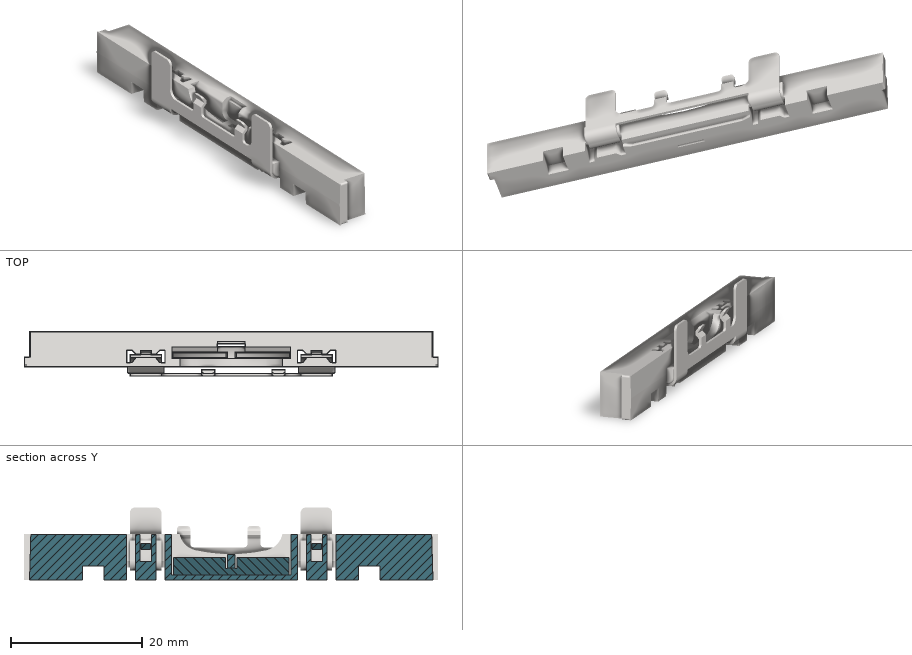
import cadquery as cq
import math

length = 63.0
height = 7.0
housing_depth = 5.35
body_length = 61.5
body_end_draft = 0.2
flange_depth = 1.5
front_draft = 0.08
end_lip = 0.25
end_relief = 0.3

notch_x = 21.0
notch_width = 3.2
notch_height = 2.1
notch_depth = 3.0
relief_height = 0.6
relief_depth = 1.25
relief_shoulder = 0.8
relief_half_width = 10.3
relief_half_back = 8.75

scoop_depth = 1.25
scoop_floor = 3.9
scoop_tangent_x = 5.4
scoop_tangent_z = 4.5
scoop_end_radius = 3.2

pocket_inner = 0.6
pocket_outer = 9.05
pocket_back = 2.3
pocket_floor = 0.8
pocket_chamfer_depth = 0.75
pocket_chamfer_drop = 0.6
pocket_chamfer_blend = 0.18
recess_half = 2.1
recess_back = 3.5
recess_radius = 1.0
recess_step_depth = 0.4
recess_step_drop = 0.65
through_slot_width = 0.4

blade_clearance = 0.2
blade_top = 3.5
blade_joint_height = 1.0

sheet = 0.4
bracket_front = -1.4
bracket_back = bracket_front + sheet
bracket_top = 11.0
tab_x = 13.0
tab_width = 4.8
tab_corner = 0.8
bar_bottom = 3.0
bar_top = 4.95
bar_corner = 1.4
finger_spans = [(-4.5, -2.5), (6.2, 8.2)]
finger_top = 8.2
finger_corner = 0.45
finger_root = 0.5
finger_bend_z = 6.5
finger_vertex_z = 7.1
finger_back_bend_z = 6.25
finger_back_flat = (6.85, 7.4)
finger_kink = 0.6

bend_z = 2.85
bend_outer = -bracket_front
bend_inner = bend_outer - sheet
hook_bottom = bend_z - bend_outer
hook_flat = 0.45
leg_back = hook_flat + bend_outer
leg_front = leg_back - sheet
leg_top = 6.0
barb_width = 1.5
barb_reach = 0.45
barb_bottom = 4.6
slot_half = 2.9
slot_front = 0.65
slot_back = 2.5
slot_neck_front = 1.4
slot_neck_back = 1.9
slot_neck_half = 1.5
slot_end_half = 2.1
barb_slot_width = 1.7

pad_half = 2.8
pad_top = 4.4
pad_corner = 0.25


def block(x0, x1, y0, y1, z0, z1):
    return cq.Workplane("XY").box(x1 - x0, y1 - y0, z1 - z0, centered=False).translate((x0, y0, z0))


def front_sketch(y):
    """XZ workplane at depth y; a negative extrusion runs toward +Y."""
    return cq.Workplane("XZ", origin=(0, y, 0))


def side_sketch(x):
    """YZ workplane at x; extrusion runs toward +X."""
    return cq.Workplane("YZ", origin=(x, 0, 0))


def make_bar():
    half = body_length / 2
    top_half = half - body_end_draft
    body = (
        front_sketch(0)
        .polyline([(-half, 0), (half, 0), (top_half, height), (-top_half, height)])
        .close()
        .extrude(-housing_depth)
    )
    lip = (
        side_sketch(-length / 2)
        .polyline([
            (front_draft, 0),
            (end_lip, 0),
            (end_lip, height),
            (front_draft, height),
            (0, height / 2),
        ])
        .close()
        .extrude(length)
    )
    flange = block(-length / 2, length / 2, end_lip, flange_depth, 0, height)
    flange = flange.edges("|Y").fillet(end_relief)
    body = body.cut(block(-half, half, 0, end_lip, 0, height))
    return body.union(flange).union(lip)


def scoop_cutter():
    rise = scoop_tangent_z - scoop_floor
    floor_radius = (scoop_tangent_x**2 + rise**2) / (2 * rise)
    tilt = math.asin(scoop_tangent_x / floor_radius)
    center_x = scoop_tangent_x - scoop_end_radius * math.sin(tilt)
    center_z = scoop_tangent_z + scoop_end_radius * math.cos(tilt)
    end_angle = math.asin((center_z - height) / scoop_end_radius)
    end_x = center_x + scoop_end_radius * math.cos(end_angle)
    mid_angle = (end_angle + math.pi / 2 - tilt) / 2
    mid_x = center_x + scoop_end_radius * math.cos(mid_angle)
    mid_z = center_z - scoop_end_radius * math.sin(mid_angle)
    return (
        front_sketch(0)
        .moveTo(-end_x, height)
        .threePointArc((-mid_x, mid_z), (-scoop_tangent_x, scoop_tangent_z))
        .threePointArc((0, scoop_floor), (scoop_tangent_x, scoop_tangent_z))
        .threePointArc((mid_x, mid_z), (end_x, height))
        .close()
        .extrude(-scoop_depth)
    )


def recess_cutter():
    recess = block(-recess_half, recess_half, scoop_depth, recess_back, scoop_floor, 2 * height)
    return recess.faces("<Z").edges("|Y").fillet(recess_radius)


def pocket_chamfer_cutter():
    """Chamfer along the top of the pocket's back wall, rounded where it meets the wall."""
    corner_z = height - pocket_chamfer_drop
    slope = math.atan2(pocket_chamfer_drop, pocket_chamfer_depth)
    blend_radius = pocket_chamfer_blend / math.tan((math.pi / 2 - slope) / 2)
    center_y = pocket_back + blend_radius
    center_z = corner_z - pocket_chamfer_blend
    mid_angle = (math.pi + slope + math.pi / 2) / 2
    mid = (center_y + blend_radius * math.cos(mid_angle), center_z + blend_radius * math.sin(mid_angle))
    end = (
        pocket_back + pocket_chamfer_blend * math.cos(slope),
        corner_z + pocket_chamfer_blend * math.sin(slope),
    )
    return (
        side_sketch(-pocket_outer)
        .moveTo(pocket_back, center_z)
        .threePointArc(mid, end)
        .lineTo(pocket_back + pocket_chamfer_depth, height)
        .lineTo(pocket_back, height)
        .close()
        .extrude(2 * pocket_outer)
    )


def blade_shape(clearance, top):
    """Two lobes reaching up to top, joined below the middle web and shrunk all round by the clearance."""
    y0 = scoop_depth + clearance
    y1 = pocket_back - clearance
    outer = pocket_outer - clearance
    joint_top = pocket_floor + blade_joint_height
    shape = block(-outer, outer, y0, y1, pocket_floor, joint_top)
    for side in (-1, 1):
        x0, x1 = sorted((side * (pocket_inner + clearance), side * outer))
        shape = shape.union(block(x0, x1, y0, y1, pocket_floor, top))
    return shape


def slot_cutter(x):
    right = [
        (slot_neck_half, slot_neck_front),
        (slot_end_half, slot_front),
        (slot_half, slot_front),
        (slot_half, slot_back),
        (slot_end_half, slot_back),
        (slot_neck_half, slot_neck_back),
    ]
    left = [(-px, py) for px, py in reversed(right)]
    slot = cq.Workplane("XY").polyline(right + left).close().extrude(height)
    barb_room = block(-barb_slot_width / 2, barb_slot_width / 2, slot_neck_back, slot_back, bend_z, height)
    hook_entry = block(-slot_half, slot_half, 0, hook_flat, 0, bend_z - bend_inner)
    hook_room = block(-slot_half, slot_half, hook_flat, slot_neck_back, 0, bend_z)
    cutter = slot.union(barb_room).union(hook_entry).union(hook_room)
    return cutter.translate((x, 0, 0))


def make_pad(x):
    diagonal = bend_inner * math.sqrt(0.5)
    pad = (
        side_sketch(x - pad_half)
        .moveTo(0, bend_z - bend_inner)
        .threePointArc((-diagonal, bend_z - diagonal), (bracket_back, bend_z))
        .lineTo(bracket_back, pad_top)
        .lineTo(flange_depth / 2, pad_top)
        .lineTo(flange_depth / 2, bend_z - bend_inner)
        .close()
        .extrude(2 * pad_half)
    )
    return pad.faces("<Y").edges().fillet(pad_corner)


def make_housing():
    housing = make_bar()
    for side in (-1, 1):
        housing = housing.union(make_pad(side * tab_x)).cut(slot_cutter(side * tab_x))
        x0 = side * notch_x - notch_width / 2
        housing = housing.cut(block(x0, x0 + notch_width, 0, notch_depth, 0, notch_height))
    under_relief = (
        cq.Workplane("XY")
        .polyline([
            (-relief_half_width, 0),
            (relief_half_width, 0),
            (relief_half_width, relief_shoulder),
            (relief_half_back, relief_depth),
            (-relief_half_back, relief_depth),
            (-relief_half_width, relief_shoulder),
        ])
        .close()
        .extrude(relief_height)
    )
    housing = housing.cut(under_relief).cut(scoop_cutter()).cut(blade_shape(0, height))
    housing = housing.cut(pocket_chamfer_cutter())
    housing = housing.cut(recess_cutter())
    step_bottom = height - recess_step_drop
    step_back = recess_back + recess_step_depth
    housing = housing.cut(block(-recess_half, recess_half, recess_back, step_back, step_bottom, height))
    return housing.cut(
        block(-recess_half, recess_half, recess_back - through_slot_width, recess_back, 0, height)
    )


def make_blade():
    return blade_shape(blade_clearance, blade_top)


def make_tab(x):
    left = x - tab_width / 2
    tab = block(left, left + tab_width, bracket_front, bracket_back, bend_z, bracket_top)
    return tab.faces(">Z").edges("|Y").fillet(tab_corner)


def make_hook(x):
    """U bend under the tab, rising into the housing slot as a straight leg with a barb."""
    outer_diagonal = bend_outer * math.sqrt(0.5)
    inner_diagonal = bend_inner * math.sqrt(0.5)
    hook_inside = hook_bottom + sheet
    hook = (
        side_sketch(x - tab_width / 2)
        .moveTo(bracket_front, bend_z)
        .threePointArc((-outer_diagonal, bend_z - outer_diagonal), (0, hook_bottom))
        .lineTo(hook_flat, hook_bottom)
        .threePointArc((hook_flat + outer_diagonal, bend_z - outer_diagonal), (leg_back, bend_z))
        .lineTo(leg_back, leg_top)
        .lineTo(leg_front, leg_top)
        .lineTo(leg_front, bend_z)
        .threePointArc((hook_flat + inner_diagonal, bend_z - inner_diagonal), (hook_flat, hook_inside))
        .lineTo(0, hook_inside)
        .threePointArc((-inner_diagonal, bend_z - inner_diagonal), (bracket_back, bend_z))
        .close()
        .extrude(tab_width)
    )
    barb = (
        side_sketch(x - barb_width / 2)
        .polyline([(leg_back, barb_bottom), (leg_back + barb_reach, barb_bottom), (leg_back, leg_top)])
        .close()
        .extrude(barb_width)
    )
    return hook.union(barb)


def make_finger(x0, x1):
    """Finger whose upper half kinks toward the housing and back again."""
    back_flat_bottom, back_flat_top = finger_back_flat
    finger = (
        side_sketch(x0)
        .polyline([
            (bracket_front, bar_top),
            (bracket_front, finger_bend_z),
            (bracket_front + finger_kink, finger_vertex_z),
            (bracket_front, finger_top),
            (bracket_back, finger_top),
            (bracket_back + finger_kink, back_flat_top),
            (bracket_back + finger_kink, back_flat_bottom),
            (bracket_back, finger_back_bend_z),
            (bracket_back, bar_top),
        ])
        .close()
        .extrude(x1 - x0)
    )
    return finger.faces(">Z").edges("|Y").fillet(finger_corner)


def corner_web(x, direction, radius):
    """Concave corner fill where an upright on the bar meets its top edge."""
    middle = radius * (1 - math.sqrt(0.5))
    return (
        front_sketch(bracket_front)
        .moveTo(x, bar_top)
        .lineTo(x, bar_top + radius)
        .threePointArc((x + direction * middle, bar_top + middle), (x + direction * radius, bar_top))
        .close()
        .extrude(-sheet)
    )


def make_bracket():
    bar_half = tab_x - tab_width / 2
    bracket = block(-bar_half, bar_half, bracket_front, bracket_back, bar_bottom, bar_top)
    for side in (-1, 1):
        bracket = bracket.union(make_tab(side * tab_x)).union(make_hook(side * tab_x))
        bracket = bracket.union(corner_web(side * bar_half, -side, bar_corner))
    for x0, x1 in finger_spans:
        bracket = bracket.union(make_finger(x0, x1))
        bracket = bracket.union(corner_web(x0, -1, finger_root)).union(corner_web(x1, 1, finger_root))
    return bracket


housing = make_housing()
blade = make_blade()
bracket = make_bracket()

result = cq.Compound.makeCompound([body.solids().val() for body in (housing, blade, bracket)])